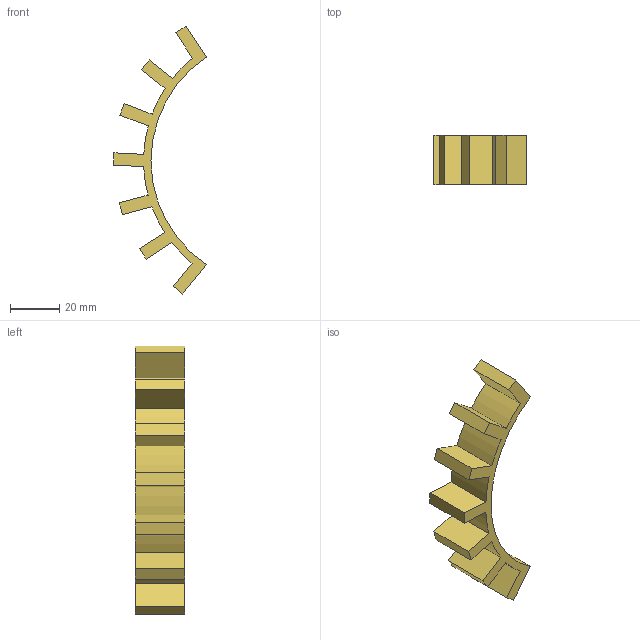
import cadquery as cq
import math

depth = 20.0
band_inner_radius = 50.6
band_thickness = 3.0
band_outer_radius = band_inner_radius + band_thickness

tooth_count = 7
tooth_width = 5.0
tooth_tip_distance = 65.7
first_tooth_angle = 123.6
tooth_pitch = 17.85
last_tooth_angle = first_tooth_angle + (tooth_count - 1) * tooth_pitch

tooth_span = math.degrees(math.asin(tooth_width / band_inner_radius))
band_end_angle = last_tooth_angle + tooth_span

extrusion = -depth


def polar(radius, angle):
    """Point in the XZ plane at a radius and an angle in degrees about the band axis."""
    return (radius * math.cos(math.radians(angle)), radius * math.sin(math.radians(angle)))


def offset_point(distance, angle):
    """Point on the far side of a tooth, one tooth width away from its radial side."""
    x, z = polar(distance, angle)
    shift_x, shift_z = polar(tooth_width, angle + 90)
    return (x + shift_x, z + shift_z)


def make_band():
    """Curved band from the radial side of the first tooth to the far side of the last."""
    middle_angle = (first_tooth_angle + band_end_angle) / 2
    return (
        cq.Workplane("XZ")
        .moveTo(*polar(band_inner_radius, first_tooth_angle))
        .threePointArc(
            polar(band_inner_radius, middle_angle),
            polar(band_inner_radius, band_end_angle),
        )
        .lineTo(*offset_point(band_outer_radius, last_tooth_angle))
        .lineTo(*polar(band_outer_radius, last_tooth_angle))
        .threePointArc(
            polar(band_outer_radius, middle_angle),
            polar(band_outer_radius, first_tooth_angle),
        )
        .close()
        .extrude(extrusion)
    )


def make_tooth(angle):
    """Bar from the inner face of the band to its flat tip, with its radial side at the angle."""
    return (
        cq.Workplane("XZ")
        .polyline([
            polar(band_inner_radius, angle),
            polar(tooth_tip_distance, angle),
            offset_point(tooth_tip_distance, angle),
            offset_point(band_inner_radius, angle),
        ])
        .close()
        .extrude(extrusion)
    )


result = make_band()
for index in range(tooth_count):
    result = result.union(make_tooth(first_tooth_angle + index * tooth_pitch))